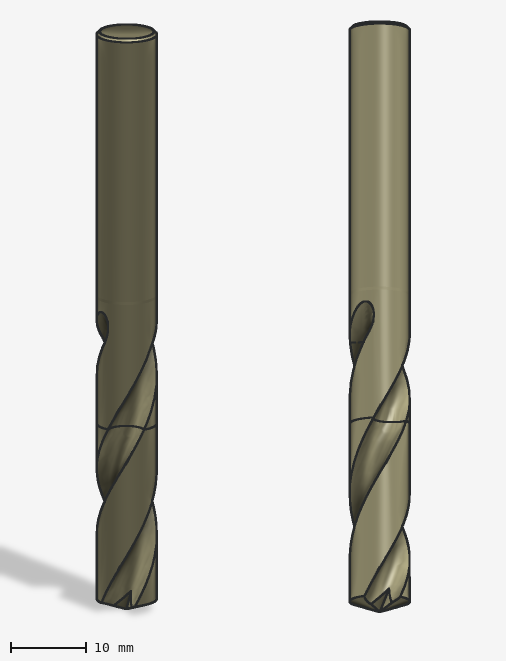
import cadquery as cq
import math

total_length = 79
shank_diameter = 8.0
diameter_step = 0.03
shank_start = 42.65
shoulder_height = 0.4
end_chamfer = 0.4
cutting_length = 25.4
point_angle = 140

flute_count = 2
helix_angle = 30
helix_end = 36.6
flute_radius = 2.45
flute_offset = 3.8
flute_end_direction = 218

runout_height = 6.3
runout_outward_slope = 0.34
runout_sideways_slope = 0.76

gash_top = cq.Vector(1.5, -0.95, 3.1)
gash_foot_points = [
    cq.Vector(0.15, -0.15, 0.3),
    cq.Vector(-0.4, -1.9, 1.4),
    cq.Vector(2.45, -1.9, 1.2),
]
gash_reach = 1.6

shank_radius = shank_diameter / 2
fluted_radius = shank_radius - diameter_step / 2
point_height = fluted_radius / math.tan(math.radians(point_angle / 2))
helix_lead = math.pi * shank_diameter / math.tan(math.radians(helix_angle))
twist_per_height = 360 / helix_lead
flute_spacing = 360 / flute_count


def helical_flute(bottom, top, index):
    """Cutter for the helical part of one flute between two heights."""
    direction = flute_end_direction + index * flute_spacing - (helix_end - bottom) * twist_per_height
    height = top - bottom
    return (
        cq.Workplane("XY")
        .moveTo(flute_offset, 0)
        .circle(flute_radius)
        .twistExtrude(height, height * twist_per_height)
        .rotate((0, 0, 0), (0, 0, 1), direction)
        .translate((0, 0, bottom))
    )


def flute_runout(index):
    """Cutter that carries one flute section straight out of the body."""
    section = cq.Wire.makeCircle(flute_radius, cq.Vector(flute_offset, 0, helix_end), cq.Vector(0, 0, 1))
    travel = cq.Vector(runout_outward_slope, runout_sideways_slope, 1) * runout_height
    cutter = cq.Workplane(cq.Solid.extrudeLinear(section, [], travel))
    return cutter.rotate((0, 0, 0), (0, 0, 1), flute_end_direction + index * flute_spacing)


def gash(index):
    """Tetrahedral cutter that thins the web beside the point."""
    feet = [gash_top + (foot - gash_top) * gash_reach for foot in gash_foot_points]
    corner_sets = [feet] + [[gash_top, feet[i], feet[i - 1]] for i in range(len(feet))]
    faces = [
        cq.Face.makeFromWires(cq.Wire.makePolygon(corners, close=True))
        for corners in corner_sets
    ]
    cutter = cq.Workplane(cq.Solid.makeSolid(cq.Shell.makeShell(faces)))
    return cutter.rotate((0, 0, 0), (0, 0, 1), index * flute_spacing)


def make_shank():
    """Plain shank with the upper, non-cutting stretch of the flutes."""
    body = (
        cq.Workplane("XZ")
        .moveTo(0, cutting_length)
        .lineTo(fluted_radius, cutting_length)
        .lineTo(fluted_radius, shank_start)
        .lineTo(shank_radius, shank_start + shoulder_height)
        .lineTo(shank_radius, total_length - end_chamfer)
        .lineTo(shank_radius - end_chamfer, total_length)
        .lineTo(0, total_length)
        .close()
        .revolve(360, (0, 0, 0), (0, 1, 0))
    )
    for index in range(flute_count):
        body = body.cut(helical_flute(cutting_length, helix_end, index))
        body = body.cut(flute_runout(index))
    return body


def make_cutting_head():
    """Fluted cutting length with its conical point and web-thinning gashes."""
    body = (
        cq.Workplane("XZ")
        .moveTo(0, 0)
        .lineTo(fluted_radius, point_height)
        .lineTo(fluted_radius, cutting_length)
        .lineTo(0, cutting_length)
        .close()
        .revolve(360, (0, 0, 0), (0, 1, 0))
    )
    for index in range(flute_count):
        body = body.cut(helical_flute(0, cutting_length, index))
        body = body.cut(gash(index))
    return body


shank = make_shank()
cutting_head = make_cutting_head()

result = cq.Compound.makeCompound([shank.solids().val(), cutting_head.solids().val()])